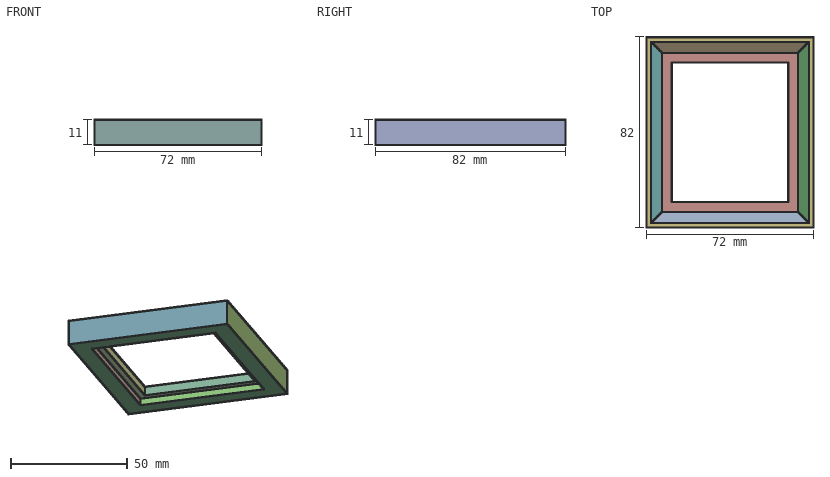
import cadquery as cq
import math

LENGTH_X = 72.0
LENGTH_Y = 82.0
HEIGHT = 11.0

RIM_WIDTH = 2.0
BORDER_WIDTH = 11.0

REBATE_DEPTH = 3.0
REBATE_WIDTH = 3.0
LIP_THICKNESS = 4.0
LEDGE_Z = REBATE_DEPTH + LIP_THICKNESS

BEVEL_SLOPE_DEG = 40.0
BEVEL_WIDTH = (HEIGHT - LEDGE_Z) / math.tan(math.radians(BEVEL_SLOPE_DEG))


def inset_rectangle(inset, z):
    """Rectangle at height z, inset evenly from the outer sides."""
    plane = cq.Workplane("XY").workplane(offset=z)
    return plane.rect(LENGTH_X - 2 * inset, LENGTH_Y - 2 * inset)


def straight_block(inset, z, height):
    """Straight-sided block standing on height z."""
    return inset_rectangle(inset, z).extrude(height)


def bevelled_recess():
    """Recess narrowing from the top rim down to the ledge."""
    narrow_inset = RIM_WIDTH + BEVEL_WIDTH
    recess = inset_rectangle(narrow_inset, LEDGE_Z)
    recess = recess.workplane(offset=HEIGHT - LEDGE_Z)
    recess = recess.rect(LENGTH_X - 2 * RIM_WIDTH, LENGTH_Y - 2 * RIM_WIDTH)
    return recess.loft(ruled=True, combine=True)


frame = straight_block(0, 0, HEIGHT)
frame = frame.cut(bevelled_recess())
opening = straight_block(BORDER_WIDTH, 0, HEIGHT)
rebate = straight_block(BORDER_WIDTH - REBATE_WIDTH, 0, REBATE_DEPTH)
result = frame.cut(opening).cut(rebate)